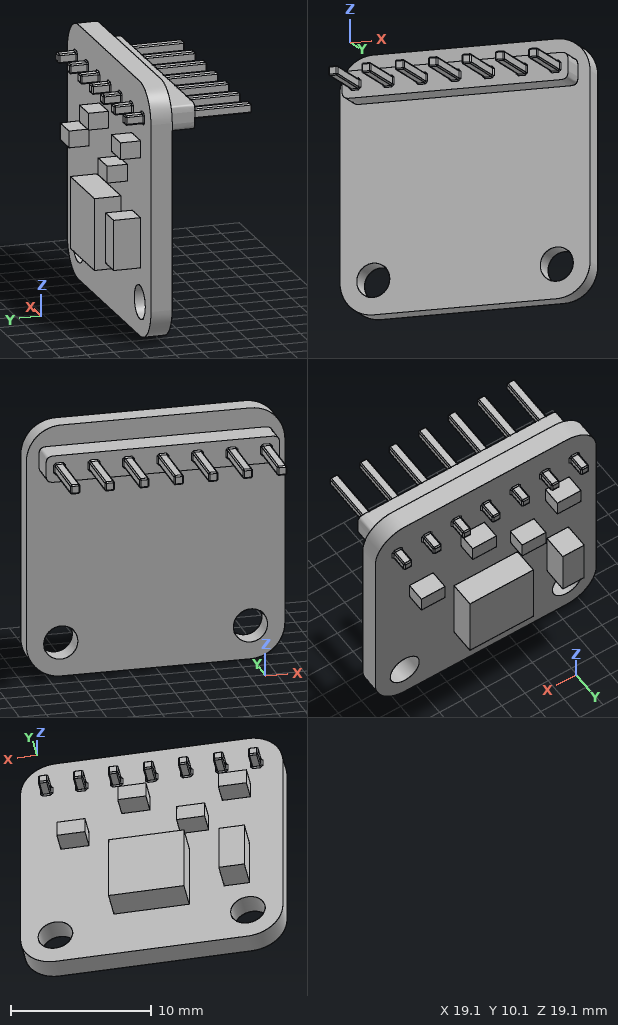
import cadquery as cq


board_side = 19.05
board_thickness = 1.6
pitch = board_side * 2 / 15
edge_inset = pitch
mount_hole_diameter = 2.5

header_width = 17.2
header_height = 2.0
header_depth = 2.0
header_corner_reach = 0.61
header_corner_fullness = 0.75
pin_count = 7
pin_side = 0.7
pin_chamfer = 0.1
front_pin_length = 4.5
back_pin_length = 1.4

chip_depth = 2.0
large_chip_width = 5.47
large_chip_height = 5.37
large_chip_center = (0.0, -3.03)
small_chip_width = 1.85
small_chip_height = 3.75
small_chip_center = (-6.2, -2.51)
component_depth = 1.5
component_width = 2.04
component_height = 1.25
upper_row_z = 4.5
lower_row_z = 1.83
component_centers = [
    (-6.15, upper_row_z),
    (-3.12, lower_row_z),
    (1.15, upper_row_z),
    (5.56, lower_row_z),
]

half_side = board_side / 2
inset_position = half_side - edge_inset
header_front = -header_depth
pin_row_length = (pin_count - 1) * pitch


def block(width, height, y_start, y_end, center_x=0.0, center_z=0.0):
    """Box between two Y planes, centred at (center_x, center_z)."""
    center_y = (y_start + y_end) / 2
    return cq.Workplane("XY").box(width, y_end - y_start, height).translate((center_x, center_y, center_z))


def make_board():
    board = block(board_side, board_side, 0, board_thickness).edges("|Y").fillet(edge_inset)
    holes = (
        cq.Workplane("XZ")
        .pushPoints([(-inset_position, -inset_position), (inset_position, -inset_position)])
        .circle(mount_hole_diameter / 2)
        .extrude(-board_thickness)
    )
    return board.cut(holes)


def make_header():
    """Header body with full, softly blended corners that bulge a little past a true arc."""
    right = header_width / 2
    top = header_height / 2
    flat_x = right - header_corner_reach
    flat_z = top - header_corner_reach
    handle = header_corner_fullness * header_corner_reach
    quarter = (
        cq.Workplane("XZ")
        .moveTo(0, 0)
        .lineTo(0, top)
        .lineTo(flat_x, top)
        .bezier([(flat_x, top), (flat_x + handle, top), (right, flat_z + handle), (right, flat_z)])
        .lineTo(right, 0)
        .close()
        .extrude(header_depth)
    )
    half = quarter.union(quarter.mirror("YZ"))
    return half.union(half.mirror("XY")).clean().translate((0, 0, inset_position))


def add_pins(body, seat_y, tip_y):
    """Stand a row of square pins on the face at seat_y, bevelled at every edge and flared at the seat."""
    y_start = min(seat_y, tip_y)
    y_end = max(seat_y, tip_y)
    for index in range(pin_count):
        pin_x = index * pitch - pin_row_length / 2
        body = body.union(block(pin_side, pin_side, y_start, y_end, pin_x, inset_position))

    reach_x = pin_row_length / 2 + pin_side
    pin_edges = cq.selectors.BoxSelector(
        (-reach_x, y_start - pin_chamfer, inset_position - pin_side),
        (reach_x, y_end + pin_chamfer, inset_position + pin_side),
    )
    return body.edges(pin_edges).chamfer(pin_chamfer)


def make_back_part(width, height, depth, center):
    return block(width, height, board_thickness, board_thickness + depth, *center)


result = make_board().union(make_header())
result = add_pins(result, header_front, header_front - front_pin_length)
result = add_pins(result, board_thickness, board_thickness + back_pin_length)

result = result.union(make_back_part(large_chip_width, large_chip_height, chip_depth, large_chip_center))
result = result.union(make_back_part(small_chip_width, small_chip_height, chip_depth, small_chip_center))

for center in component_centers:
    result = result.union(make_back_part(component_width, component_height, component_depth, center))